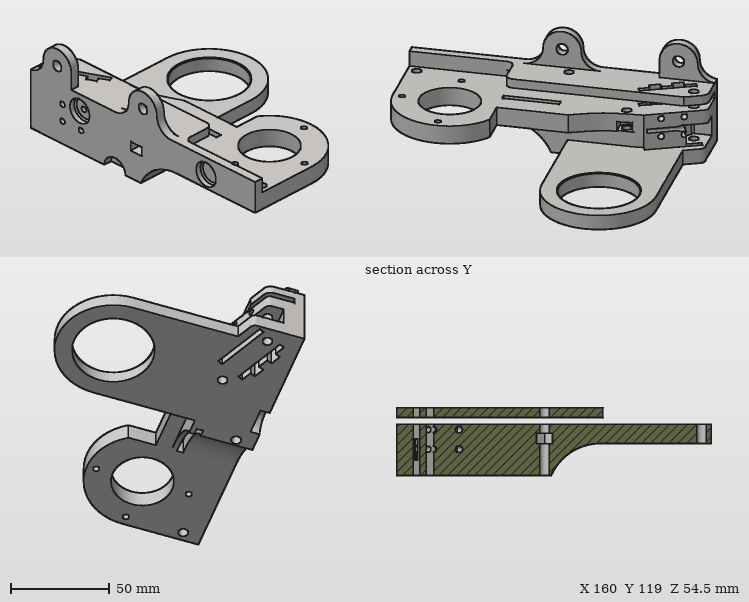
import cadquery as cq
import math

BASE_TOP = 8
ARM_BOTTOM = 16.2
ARM_TOP = 26.2
DECK_BOTTOM = 29.5
DECK_TOP = 34.5

LENGTH = 160
WALL = 5.2
LUG_RADIUS = 10
LUG_HOLE_DIAMETER = 6
LUG_Z = DECK_TOP + LUG_RADIUS
LUG_CENTERS_X = (19, 80)
FOOT_END_X = 78.6
UNDERCUT_RADIUS = 27

THROUGH = 300

RING_X = 40
RING_Y = 89
RING_RADIUS = 30
RING_BORE_DIAMETER = 42
RING_CHAMFER = 0.5
BASE_CORNER_Y = 27.7
BASE_CORNER_RADIUS = 3

ARM_X = 130
ARM_Y = 41
ARM_RADIUS = 30
ARM_BORE_DIAMETER = 32
ARM_LEFT_X = 105
ARM_SCREW_CIRCLE_RADIUS = 25
ARM_SCREW_DIAMETER = 3.2
BRIDGE_BACK_Y = 42.7
BRIDGE_LEFT_X = 67.6
BRIDGE_KNEE = (50, 36)
BRIDGE_END_SLOPE = 0.1

DECK_DEPTH = 25
DECK_CORNER_RADIUS = 4
DECK_FACE_FILLET = 5

FACE_ANGLE = 25
FACE_START_Y = 19.75
FACE_FILLET = 3.2
CORE_BACK_Y = 34.2
MOUNT_CENTER_U = 18.2
MOUNT_LENGTH = 30
MOUNT_SLOT_WIDTH = 2.8
SCREW_PITCH_U = 12
SCREW_HEIGHTS = (13.4, 23.4)
SCREW_DIAMETER = 3.1
NUT_SLOT_V = -11.7
NUT_WIDTH = 6
NUT_DEPTH = 3

POCKET_TOP = 18.7
POCKET_END_U = 11.2
POCKET_FLOOR_V = -10.7
POCKET_FILLET = 4.8
POCKET_FRONT_Y = 11.2

GROOVE_Z = 17
GROOVE_RADIUS = 1.75
GROOVE_OFFSET = 1.36
GROOVE_BEND_RADIUS = 6.7
GROOVE_START_U = 31.5

BOLT_DIAMETER = 5
FRONT_NUT_BOLT = (75.2, 10)
BACK_NUT_BOLT = (40, 30)
BOLT_POSITIONS = ((8, 17.2), BACK_NUT_BOLT, FRONT_NUT_BOLT, (155, 10))
BRIDGE_SLOT_START_X = 75
BRIDGE_SLOT_Y = 28
BRIDGE_SLOT_WIDTH = 3.4
MAGNET_DIAMETER = 14
MAGNET_DEPTH = 4
MAGNET_CHAMFER = 0.9
MAGNET_CENTERS_X = (35, 125)
MAGNET_Z = 24.5
NUT_TRAP_WIDTH = 8
NUT_TRAP_HEIGHT = 5.3
NUT_TRAP_REACH = 12
NOTCH_X = 60
NOTCH_Z = -0.25
NOTCH_RADIUS = 7.5
NOTCH_DEPTH = 5

COS = math.cos(math.radians(FACE_ANGLE))
SIN = math.sin(math.radians(FACE_ANGLE))
SLOPE = SIN / COS
DIAGONAL = math.sqrt(0.5)
HEX_HALF_ANGLE = math.radians(30)
MOUNT_START_U = MOUNT_CENTER_U - MOUNT_LENGTH / 2
MOUNT_END_U = MOUNT_CENTER_U + MOUNT_LENGTH / 2


def face_point(u, v):
    """XY position of a point u along and v out from the slanted face."""
    return (u * COS - v * SIN, FACE_START_Y + u * SIN + v * COS)


def face_prism(points):
    """Prism through the full height on an outline given in slanted-face coordinates."""
    outline = [face_point(u, v) for u, v in points]
    return cq.Workplane("XY").polyline(outline).close().extrude(THROUGH)


def side_plane(z, u, v):
    """Plane whose normal points into the part, square to the slanted face."""
    x, y = face_point(u, v)
    return cq.Plane(origin=(x, y, z), xDir=(COS, SIN, 0), normal=(SIN, -COS, 0))


def front_silhouette():
    """Outline of the wall in XZ: lugs on top, arc-shaped undercut below."""
    drop = UNDERCUT_RADIUS - ARM_BOTTOM
    undercut_end_x = FOOT_END_X + math.sqrt(UNDERCUT_RADIUS**2 - drop**2)
    angle_start = math.atan2(drop, FOOT_END_X - undercut_end_x)
    angle_mid = (angle_start + math.pi / 2) / 2
    undercut_mid = (
        undercut_end_x + UNDERCUT_RADIUS * math.cos(angle_mid),
        UNDERCUT_RADIUS * math.sin(angle_mid) - drop,
    )
    r = LUG_RADIUS
    left, right = LUG_CENTERS_X
    flare = r * (2 - DIAGONAL)
    flare_z = LUG_Z - r * DIAGONAL
    left_flare_start_z = LUG_Z - math.sqrt(r**2 - (left - 2 * r) ** 2)
    left_flare_mid = (left - flare, flare_z)
    return (
        cq.Workplane("XZ")
        .moveTo(0, 0)
        .lineTo(FOOT_END_X, 0)
        .threePointArc(undercut_mid, (undercut_end_x, ARM_BOTTOM))
        .lineTo(LENGTH, ARM_BOTTOM)
        .lineTo(LENGTH, DECK_TOP)
        .lineTo(right + 2 * r, DECK_TOP)
        .threePointArc((right + flare, flare_z), (right + r, LUG_Z))
        .threePointArc((right, LUG_Z + r), (right - r, LUG_Z))
        .threePointArc((right - flare, flare_z), (right - 2 * r, DECK_TOP))
        .lineTo(left + r, DECK_TOP)
        .lineTo(left + r, LUG_Z)
        .threePointArc((left, LUG_Z + r), (left - r, LUG_Z))
        .threePointArc(left_flare_mid, (0, left_flare_start_z))
        .close()
        .extrude(-THROUGH)
    )


def wall():
    return cq.Workplane("XY").box(LENGTH, WALL, LUG_Z + LUG_RADIUS, centered=False)


def base_plate():
    left = RING_X - RING_RADIUS
    right = RING_X + RING_RADIUS
    plate = (
        cq.Workplane("XY")
        .moveTo(0, 0)
        .lineTo(right, 0)
        .lineTo(right, RING_Y)
        .threePointArc((RING_X, RING_Y + RING_RADIUS), (left, RING_Y))
        .lineTo(left, BASE_CORNER_Y + left * SLOPE)
        .lineTo(0, BASE_CORNER_Y)
        .close()
        .extrude(BASE_TOP)
    )
    corner = cq.selectors.NearestToPointSelector((0, BASE_CORNER_Y, BASE_TOP / 2))
    plate = plate.edges("|Z").edges(corner).fillet(BASE_CORNER_RADIUS)
    bore = cq.Workplane("XY").center(RING_X, RING_Y).circle(RING_BORE_DIAMETER / 2).extrude(BASE_TOP)
    rim = (
        cq.Workplane("XY", origin=(RING_X, RING_Y, BASE_TOP))
        .circle(RING_BORE_DIAMETER / 2 + RING_CHAMFER)
        .workplane(offset=-RING_CHAMFER)
        .circle(RING_BORE_DIAMETER / 2)
        .loft()
    )
    return plate.cut(bore).cut(rim)


def arm_outline(bottom, top):
    """Bridge and round arm, bounded on the left by the slanted face."""
    cut_y = ARM_Y + math.sqrt(ARM_RADIUS**2 - (ARM_X - ARM_LEFT_X) ** 2)
    body = (
        cq.Workplane("XY", origin=(0, 0, bottom))
        .moveTo(0, 0)
        .lineTo(LENGTH, 0)
        .lineTo(LENGTH, ARM_Y)
        .threePointArc((ARM_X, ARM_Y + ARM_RADIUS), (ARM_LEFT_X, cut_y))
        .lineTo(ARM_LEFT_X, BRIDGE_BACK_Y)
        .lineTo(BRIDGE_LEFT_X, BRIDGE_BACK_Y)
        .spline(
            [BRIDGE_KNEE, face_point(MOUNT_END_U, 0)],
            tangents=[(-COS, -SIN), (-1, -BRIDGE_END_SLOPE)],
            includeCurrent=True,
        )
        .lineTo(0, FACE_START_Y)
        .close()
        .extrude(top - bottom)
    )
    corner = cq.selectors.NearestToPointSelector((0, FACE_START_Y, (bottom + top) / 2))
    return body.edges("|Z").edges(corner).fillet(FACE_FILLET)


def core():
    """Block below the arm that carries the slanted face."""
    limit = cq.Workplane("XY").box(LENGTH, CORE_BACK_Y, ARM_BOTTOM, centered=False)
    return arm_outline(0, ARM_BOTTOM).intersect(limit)


def deck():
    thickness = DECK_TOP - DECK_BOTTOM
    mid_z = (DECK_TOP + DECK_BOTTOM) / 2
    plate = (
        cq.Workplane("XY", origin=(0, 0, DECK_BOTTOM))
        .moveTo(0, 0)
        .lineTo(LENGTH, 0)
        .lineTo(LENGTH, WALL)
        .lineTo(ARM_LEFT_X, WALL)
        .lineTo(ARM_LEFT_X, DECK_DEPTH)
        .lineTo((DECK_DEPTH - FACE_START_Y) / SLOPE, DECK_DEPTH)
        .lineTo(0, FACE_START_Y)
        .close()
        .extrude(thickness)
    )
    for y in (WALL, DECK_DEPTH):
        corner = cq.selectors.NearestToPointSelector((ARM_LEFT_X, y, mid_z))
        plate = plate.edges("|Z").edges(corner).fillet(DECK_CORNER_RADIUS)
    corner = cq.selectors.NearestToPointSelector((0, FACE_START_Y, mid_z))
    return plate.edges("|Z").edges(corner).fillet(DECK_FACE_FILLET)


def vertical_holes(positions, diameter):
    return cq.Workplane("XY").pushPoints(positions).circle(diameter / 2).extrude(THROUGH)


def arm_holes():
    offset = ARM_SCREW_CIRCLE_RADIUS
    screws = [(ARM_X, ARM_Y + offset), (ARM_X + offset, ARM_Y), (ARM_X, ARM_Y - offset)]
    bore = vertical_holes([(ARM_X, ARM_Y)], ARM_BORE_DIAMETER)
    return bore.union(vertical_holes(screws, ARM_SCREW_DIAMETER))


def bridge_slot():
    length = ARM_LEFT_X - BRIDGE_SLOT_START_X
    slot = cq.Workplane("XY").box(length, BRIDGE_SLOT_WIDTH, THROUGH, centered=False)
    return slot.translate((BRIDGE_SLOT_START_X, BRIDGE_SLOT_Y, 0))


def mount_cuts():
    """Slot in front of the slanted face, nut slot behind it and screw holes between them."""
    start, end = MOUNT_START_U, MOUNT_END_U
    width = MOUNT_SLOT_WIDTH
    cuts = face_prism([(start, 0), (end, 0), (end, width), (start, width)])
    back = NUT_SLOT_V - width
    nut_slot = [(start, NUT_SLOT_V), (end, NUT_SLOT_V), (end, back), (start, back)]
    cuts = cuts.union(face_prism(nut_slot))
    for side in (-1, 1):
        u = MOUNT_CENTER_U + side * SCREW_PITCH_U / 2
        left, right = u - NUT_WIDTH / 2, u + NUT_WIDTH / 2
        pocket = [(left, NUT_SLOT_V), (right, NUT_SLOT_V), (right, back - NUT_DEPTH), (left, back - NUT_DEPTH)]
        cuts = cuts.union(face_prism(pocket))
        for z in SCREW_HEIGHTS:
            screw = cq.Workplane(side_plane(z, u, width)).circle(SCREW_DIAMETER / 2).extrude(THROUGH)
            cuts = cuts.union(screw)
    return cuts


def side_pocket():
    fillet_start = face_point(POCKET_END_U - POCKET_FILLET, POCKET_FLOOR_V)
    fillet_end = face_point(POCKET_END_U, POCKET_FLOOR_V + POCKET_FILLET)
    bulge = POCKET_FILLET * (1 - DIAGONAL)
    fillet_mid = face_point(POCKET_END_U - bulge, POCKET_FLOOR_V + bulge)
    step_bottom = (fillet_start[0] + (fillet_start[1] - POCKET_FRONT_Y) * SLOPE, POCKET_FRONT_Y)
    outside = face_point(POCKET_END_U, MOUNT_SLOT_WIDTH)
    return (
        cq.Workplane("XY", origin=(0, 0, BASE_TOP))
        .moveTo(0, POCKET_FRONT_Y)
        .lineTo(*step_bottom)
        .lineTo(*fillet_start)
        .threePointArc(fillet_mid, fillet_end)
        .lineTo(*outside)
        .lineTo(0, outside[1])
        .close()
        .extrude(POCKET_TOP - BASE_TOP)
    )


def face_groove():
    """Round bar swept along the face and around a quarter bend at the pocket corner."""
    end_u = POCKET_END_U - GROOVE_OFFSET
    bend_u = end_u + GROOVE_BEND_RADIUS
    bulge = GROOVE_BEND_RADIUS * (1 - DIAGONAL)
    start = face_point(GROOVE_START_U, GROOVE_OFFSET)
    path = (
        cq.Workplane("XY", origin=(0, 0, GROOVE_Z))
        .moveTo(*start)
        .lineTo(*face_point(bend_u, GROOVE_OFFSET))
        .threePointArc(
            face_point(end_u + bulge, GROOVE_OFFSET - bulge),
            face_point(end_u, GROOVE_OFFSET - GROOVE_BEND_RADIUS),
        )
    )
    plane = cq.Plane(origin=(start[0], start[1], GROOVE_Z), xDir=(0, 0, 1), normal=(-COS, -SIN, 0))
    return cq.Workplane(plane).circle(GROOVE_RADIUS).sweep(path)


def front_cylinder(x, z, radius, depth):
    return cq.Workplane("XZ").center(x, z).circle(radius).extrude(-depth)


def front_cuts():
    """Magnet recesses, lug holes and the half-round notch, all cut from the front."""
    cuts = front_cylinder(NOTCH_X, NOTCH_Z, NOTCH_RADIUS, NOTCH_DEPTH)
    for x in MAGNET_CENTERS_X:
        recess = front_cylinder(x, MAGNET_Z, MAGNET_DIAMETER / 2, MAGNET_DEPTH)
        cuts = cuts.union(recess.faces(">Y").chamfer(MAGNET_CHAMFER))
    for x in LUG_CENTERS_X:
        cuts = cuts.union(front_cylinder(x, LUG_Z, LUG_HOLE_DIAMETER / 2, WALL))
    return cuts


def nut_trap(position, opening):
    """Pocket for a hexagon nut around a bolt, open to the front (-1) or the back (1)."""
    x, y = position
    half = NUT_TRAP_WIDTH / 2
    mouth_y = y + opening * NUT_TRAP_REACH
    corner_y = y - opening * half * math.tan(HEX_HALF_ANGLE)
    tip_y = y - opening * half / math.cos(HEX_HALF_ANGLE)
    outline = [(x - half, mouth_y), (x + half, mouth_y), (x + half, corner_y), (x, tip_y), (x - half, corner_y)]
    return cq.Workplane("XY", origin=(0, 0, ARM_BOTTOM)).polyline(outline).close().extrude(NUT_TRAP_HEIGHT)


layers = wall().union(base_plate()).union(core()).union(arm_outline(ARM_BOTTOM, ARM_TOP)).union(deck())
result = layers.intersect(front_silhouette())
result = result.cut(vertical_holes(BOLT_POSITIONS, BOLT_DIAMETER))
result = result.cut(arm_holes()).cut(bridge_slot())
result = result.cut(mount_cuts()).cut(side_pocket()).cut(face_groove())
result = result.cut(front_cuts())
result = result.cut(nut_trap(FRONT_NUT_BOLT, -1)).cut(nut_trap(BACK_NUT_BOLT, 1))